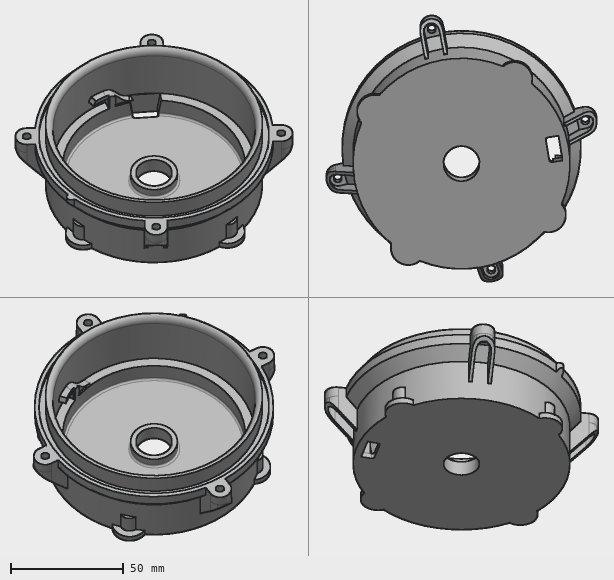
import cadquery as cq
import math

total_height = 38.9
body_radius = 48.3
bore_radius = 45.0
rim_round = 3.1

flange_radius = 53.2
flange_bottom = 27.0
flange_top = 31.9
cone_bottom = 20.7
groove_radius = 51.2
groove_depth = 2.0

floor_top = 2.7
ledge_top = 11.6
ledge_radius = 40.7
boss_top = 7.4
boss_radius = 10.4
shaft_hole_radius = 8.0
floor_round = 1.0

ear_offset = 40.1
ear_center = ear_offset * math.sqrt(2)
ear_radius = 5.1
screw_hole_radius = 1.8
gusset_wall = 1.5
gusset_bottom = 9.5
gusset_slope = 1.18
ear_angles = (45, 135, 225, 315)

nub_radius = 2.1
nub_tip = 55.1

foot_radius = 7.8
foot_height = 2.9
foot_center = flange_radius - foot_radius
pad_radius = 4.4
pad_top = 11.5
foot_angles = (0, 90, 180, 270)

catch_radius = 41.7
catch_top = 19.3
lip_bottom = 17.1
lip_start = -5.7
lip_bevel_end = -7.6
lip_end = -14.9
ramp_start = -15.3
post_start = -17.0
post_end = -21.2
ramp_end = -32.6
catch_turns = (0, 180)

window_angle = 139.4
window_inner = 38.8
window_outer = 44.6
window_width_bottom = 11.5
window_width_top = 14.1
window_corner = 1.3

overlap = 0.4
ramp_lead = 1.1
sector_reach = 65.0


def cylinder(radius, bottom, top, center_x=0.0):
    return cq.Workplane("XY", origin=(center_x, 0, bottom)).circle(radius).extrude(top - bottom)


def turned(solid, angle):
    return solid.rotate((0, 0, 0), (0, 0, 1), angle)


def revolved(points):
    """Spin an outline of (radius, height) points about Z."""
    return cq.Workplane("XZ").polyline(points).close().revolve(360, (0, 0, 0), (0, 1, 0))


def round_ended_bar(half_width, center, bottom, top):
    """Bar from the Z axis along +X, ending in a half circle about the given centre."""
    return (
        cq.Workplane("XY", origin=(0, 0, bottom))
        .moveTo(0, -half_width)
        .lineTo(center, -half_width)
        .threePointArc((center + half_width, 0), (center, half_width))
        .lineTo(0, half_width)
        .close()
        .extrude(top - bottom)
    )


def lower_shell():
    """Solid body up to the flange top, with the cone under the flange."""
    shell = revolved([
        (0, 0),
        (body_radius, 0),
        (body_radius, cone_bottom),
        (flange_radius, flange_bottom),
        (flange_radius, flange_top),
        (0, flange_top),
    ])
    return shell


def gusset():
    """Ruled block under an ear: its end goes from a half circle at the top to square below."""
    tip = ear_center + ear_radius
    diagonal = ear_radius * math.sqrt(0.5)
    blend = (
        cq.Workplane("XY", origin=(0, 0, gusset_bottom))
        .moveTo(0, -ear_radius)
        .lineTo(ear_center, -ear_radius)
        .lineTo(tip, -ear_radius)
        .lineTo(tip, 0)
        .lineTo(tip, ear_radius)
        .lineTo(ear_center, ear_radius)
        .lineTo(0, ear_radius)
        .close()
        .workplane(offset=flange_bottom - gusset_bottom)
        .moveTo(0, -ear_radius)
        .lineTo(ear_center, -ear_radius)
        .radiusArc((ear_center + diagonal, -diagonal), -ear_radius)
        .radiusArc((tip, 0), -ear_radius)
        .radiusArc((ear_center + diagonal, diagonal), -ear_radius)
        .radiusArc((ear_center, ear_radius), -ear_radius)
        .lineTo(0, ear_radius)
        .close()
        .loft(ruled=True)
    )
    hollow = round_ended_bar(ear_radius - gusset_wall, ear_center, gusset_bottom, flange_bottom)
    slope_end = gusset_bottom + (tip - body_radius) * gusset_slope
    below_slope = (
        cq.Workplane("XZ")
        .polyline([
            (body_radius, gusset_bottom),
            (tip, slope_end),
            (tip, gusset_bottom),
        ])
        .close()
        .extrude(ear_radius, both=True)
    )
    return blend.cut(hollow).cut(below_slope)


def ear():
    """Screw ear pointing along +X with its gusset."""
    plate = round_ended_bar(ear_radius, ear_center, flange_bottom, flange_top)
    return plate.union(gusset())


def nub():
    """Nub on the flange edge, its underside continuing the flange cone."""
    cone_slope = (flange_bottom - cone_bottom) / (flange_radius - body_radius)
    nub_tip_bottom = flange_bottom + (nub_tip - flange_radius) * cone_slope
    cone = revolved([
        (0, cone_bottom),
        (body_radius, cone_bottom),
        (nub_tip, nub_tip_bottom),
        (nub_tip, flange_top),
        (0, flange_top),
    ])
    peg = cylinder(nub_radius, cone_bottom, flange_top, nub_tip - nub_radius)
    return turned(peg.intersect(cone), -90)


def foot():
    disc = cylinder(foot_radius, 0, foot_height, foot_center)
    pad = cylinder(pad_radius, 0, pad_top, foot_center)
    return disc.union(pad)


def cavity():
    """Inside of the housing above the floor, with the boss left standing."""
    bore = cylinder(bore_radius, ledge_top, total_height)
    well = cylinder(ledge_radius, floor_top, ledge_top).faces("<Z").edges().fillet(floor_round)
    boss = cylinder(boss_radius, floor_top, boss_top)
    boss_foot = (
        cq.Workplane("XZ")
        .moveTo(boss_radius, floor_top)
        .lineTo(boss_radius + floor_round, floor_top)
        .radiusArc((boss_radius, floor_top + floor_round), floor_round)
        .close()
        .revolve(360, (0, 0, 0), (0, 1, 0))
    )
    return bore.union(well).cut(boss).cut(boss_foot)


def window():
    """Opening along +X: round-cornered through the floor, flaring up through the ledge."""
    length = window_outer - window_inner
    half_bottom = window_width_bottom / 2
    half_top = window_width_top / 2
    floor_opening = (
        cq.Workplane("XY", origin=(window_inner, 0, 0))
        .rect(length, window_width_bottom, centered=(False, True))
        .extrude(floor_top)
        .edges("|Z and <X")
        .fillet(window_corner)
    )
    ledge_opening = (
        cq.Workplane("YZ", origin=(window_inner, 0, floor_top))
        .polyline([
            (-half_bottom, 0),
            (half_bottom, 0),
            (half_top, ledge_top - floor_top),
            (-half_top, ledge_top - floor_top),
        ])
        .close()
        .extrude(length)
    )
    return floor_opening.union(ledge_opening)


def ring_sector(inner_radius, start, end, bottom, top):
    """Piece of a ring against the bore between two angles."""
    ring = cylinder(bore_radius + overlap, bottom, top).cut(cylinder(inner_radius, bottom, top))
    corners = [
        (sector_reach * math.cos(math.radians(angle)), sector_reach * math.sin(math.radians(angle)))
        for angle in (start, end)
    ]
    wedge = (
        cq.Workplane("XY", origin=(0, 0, bottom))
        .polyline([(0, 0)] + corners)
        .close()
        .extrude(top - bottom)
    )
    return ring.intersect(wedge)


def catch_ramp():
    """S-shaped ramp from the lip down to the ledge, cut to the ring of the catch."""
    middle_angle = (ramp_start + ramp_end) / 2
    middle_radius = (catch_radius + bore_radius) / 2
    half_run = middle_radius * math.tan(math.radians((ramp_start - ramp_end) / 2))
    post_run = middle_radius * math.tan(math.radians(post_start - middle_angle))
    prism = (
        cq.Workplane("YZ")
        .moveTo(half_run + ramp_lead, catch_top)
        .lineTo(half_run, catch_top)
        .spline([(-half_run, ledge_top)], tangents=[(-1, 0), (-1, 0)], includeCurrent=True)
        .lineTo(post_run, ledge_top)
        .lineTo(post_run, lip_bottom)
        .lineTo(half_run + ramp_lead, lip_bottom)
        .close()
        .extrude(sector_reach)
    )
    prism = turned(prism, middle_angle)
    post = ring_sector(ledge_radius, post_start, post_end, ledge_top, catch_top)
    track = ring_sector(catch_radius, 0, 2 * middle_angle, ledge_top, catch_top)
    return prism.intersect(track.union(post))


def catch():
    lip = ring_sector(catch_radius, lip_start, lip_end, lip_bottom, catch_top)
    bevel_length = bore_radius * math.radians(lip_start - lip_bevel_end)
    bevel = (
        cq.Workplane("YZ")
        .polyline([
            (0, lip_bottom),
            (0, catch_top),
            (-bevel_length, catch_top),
        ])
        .close()
        .extrude(sector_reach)
    )
    lip = lip.cut(turned(bevel, lip_start))
    return lip.union(catch_ramp())


result = lower_shell()
for angle in ear_angles:
    result = result.union(turned(ear(), angle))
for angle in foot_angles:
    result = result.union(turned(foot(), angle))
result = result.union(nub())

groove_bottom = flange_top - groove_depth
result = result.cut(cylinder(groove_radius, groove_bottom, flange_top))
result = result.union(cylinder(body_radius, groove_bottom, total_height))
result = result.cut(cavity())
result = result.cut(cylinder(shaft_hole_radius, 0, total_height))
for angle in ear_angles:
    screw_hole = cylinder(screw_hole_radius, gusset_bottom, flange_top, ear_center)
    result = result.cut(turned(screw_hole, angle))

rim_edge = cq.selectors.RadiusNthSelector(0)
result = result.faces(">Z").edges(rim_edge).fillet(rim_round)

result = result.cut(turned(window(), window_angle))
for turn in catch_turns:
    result = result.union(turned(catch(), turn))